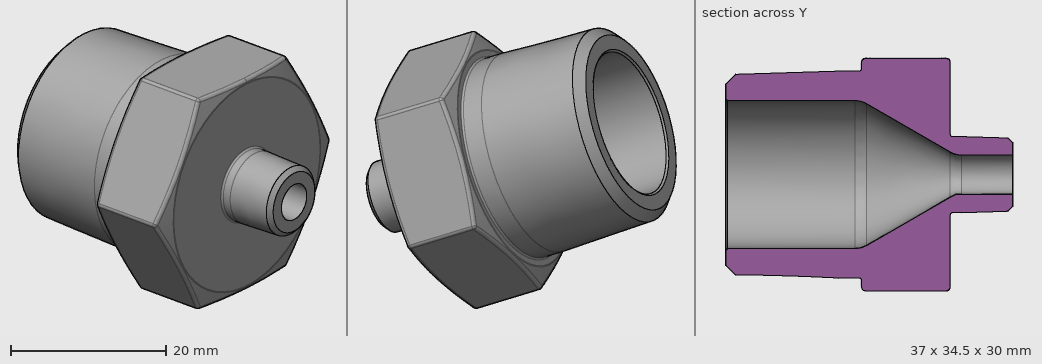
import cadquery as cq
import math

total_length = 37
hex_start = 17.45
hex_end = 28.97

across_flats = 30.0
hex_edge_radius = 0.5
hex_face_diameter = 28.95
hex_chamfer_angle = 15

thread_taper = 1 / 16
root_fillet = 0.24

large_thread_diameter = 26.75
large_taper_start = 14.55
large_end_chamfer = 1.25

small_thread_diameter = 9.88
small_taper_start = 30.38
small_end_chamfer = 0.63

large_bore_diameter = 19.0
small_bore_diameter = 5.0
cone_start = hex_start
cone_half_angle = 30
mouth_chamfer = 0.25
bore_fillet = 3.0


def revolve_profile(points):
    """Turn an outline of (x, radius) points around the X axis."""
    return cq.Workplane("XZ").polyline(points).close().revolve(360, (0, 0, 0), (1, 0, 0))


def make_hexagon():
    """Hexagon with flats facing +Z and -Z, conical ends and rounded edges."""
    across_corners = across_flats / math.cos(math.radians(30))
    hexagon = (
        cq.Workplane("YZ", origin=(hex_start, 0, 0))
        .polygon(6, across_corners)
        .extrude(hex_end - hex_start)
        .edges("|X")
        .fillet(hex_edge_radius)
    )
    face_radius = hex_face_diameter / 2
    outer_radius = across_corners / 2
    setback = (outer_radius - face_radius) * math.tan(math.radians(hex_chamfer_angle))
    chamfer_envelope = revolve_profile([
        (hex_start, 0),
        (hex_start, face_radius),
        (hex_start + setback, outer_radius),
        (hex_end - setback, outer_radius),
        (hex_end, face_radius),
        (hex_end, 0),
    ])
    hexagon = hexagon.intersect(chamfer_envelope)
    rims = hexagon.faces("%CONE").edges("not %LINE")
    return rims.fillet(hex_edge_radius)


def make_thread(base_x, taper_x, end_x, diameter, end_chamfer):
    """Plain neck, tapered thread body and chamfered end; works in either direction along X."""
    direction = math.copysign(1, end_x - base_x)
    chamfer_x = end_x - direction * end_chamfer
    base_radius = diameter / 2
    end_radius = base_radius - abs(chamfer_x - taper_x) * thread_taper / 2
    fillet_end_x = base_x + direction * root_fillet
    fillet_center = (fillet_end_x, base_radius + root_fillet)
    fillet_reach = root_fillet * math.cos(math.radians(45))
    fillet_middle = (fillet_center[0] - direction * fillet_reach, fillet_center[1] - fillet_reach)
    return (
        cq.Workplane("XZ")
        .moveTo(base_x, 0)
        .lineTo(base_x, fillet_center[1])
        .threePointArc(fillet_middle, (fillet_end_x, base_radius))
        .lineTo(taper_x, base_radius)
        .lineTo(chamfer_x, end_radius)
        .lineTo(end_x, end_radius - end_chamfer)
        .lineTo(end_x, 0)
        .close()
        .revolve(360, (0, 0, 0), (1, 0, 0))
    )


def make_bore():
    """Wide bore from the -X end, narrowed by a cone to the through hole."""
    large_radius = large_bore_diameter / 2
    small_radius = small_bore_diameter / 2
    cone_end = cone_start + (large_radius - small_radius) / math.tan(math.radians(cone_half_angle))
    cavity = revolve_profile([
        (0, 0),
        (0, large_radius + mouth_chamfer),
        (mouth_chamfer, large_radius),
        (cone_start, large_radius),
        (cone_end, small_radius),
        (total_length, small_radius),
        (total_length, 0),
    ])
    margin = 0.05
    cone_rims = cavity.edges("%CIRCLE").edges(
        cq.selectors.BoxSelector(
            (cone_start - margin, -margin, -margin), (cone_end + margin, margin, margin)
        )
    )
    return cone_rims.fillet(bore_fillet)


body = make_hexagon()
body = body.union(
    make_thread(hex_start, large_taper_start, 0, large_thread_diameter, large_end_chamfer)
)
body = body.union(
    make_thread(hex_end, small_taper_start, total_length, small_thread_diameter, small_end_chamfer)
)
result = body.cut(make_bore())